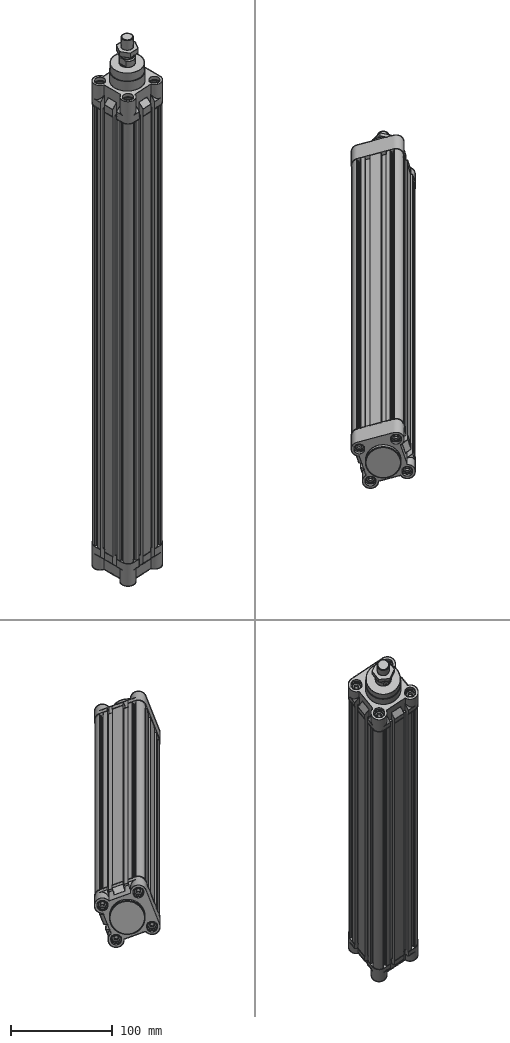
import cadquery as cq
import math

total_length = 663.0
side = 54.0
half_side = side / 2
thread_length = 24.0
shoulder_to_cap = 30.5
boss_height = 4.5
cap_height = 28.0
shoulder_z = total_length - thread_length
front_face_z = shoulder_z - shoulder_to_cap
barrel_top_z = front_face_z - cap_height
barrel_bottom_z = boss_height + cap_height

lobe_radius = 8.0
bolt_offset = half_side - lobe_radius
panel_offset = 21.0
rib_width = 11.0
lobe_inner = bolt_offset - lobe_radius
block_height = 9.0
bolt_steps = ((10.5, 4.0), (8.0, 6.0), (4.5, 10.0))

barrel_side = 53.0
barrel_half = barrel_side / 2
groove_floor = 23.0
slot_offset = 17.0
slot_width = 4.0
slot_depth = 2.0
slot_root_width = 2.0
slot_root_depth = 4.5

collar_diameter = 35.0
collar_height = 22.0
neck_diameter = 34.0
neck_height = 10.0
boss_chamfer = 0.5

rod_diameter = 16.0
thread_diameter = 12.0
thread_chamfer = 0.5
shoulder_chamfer = 1.0
flats_width = 13.0
flats_length = 8.0
nut_width = 19.0
nut_height = 6.0
nut_bottom_z = 644.5


def box(x_min, x_max, y_min, y_max, z_min, z_max):
    size = (x_max - x_min, y_max - y_min, z_max - z_min)
    return cq.Workplane("XY").box(*size, centered=False).translate((x_min, y_min, z_min))


def cylinder(diameter, z_min, z_max):
    return cq.Workplane("XY", origin=(0, 0, z_min)).circle(diameter / 2).extrude(z_max - z_min)


def turned(shape, angle):
    return shape.rotate((0, 0, 0), (0, 0, 1), angle)


def sloped_block(x_min, x_max):
    """Block on the -Y side of a cap, rising from z = 0, with a 45 degree end that slopes up and inward."""
    inner_y = -bolt_offset
    slope_top = block_height + half_side - bolt_offset
    outline = [(inner_y, 0), (-half_side, 0), (-half_side, block_height), (inner_y, slope_top)]
    block = cq.Workplane("YZ", origin=(x_min, 0, 0)).polyline(outline).close()
    return block.extrude(x_max - x_min)


def make_cap():
    """Front cap with its barrel joint at z = 0; the +Y side is flat and the other three are recessed."""
    cap = box(-panel_offset, panel_offset, -panel_offset, panel_offset, 0, cap_height)
    cap = cap.union(box(-bolt_offset, bolt_offset, 0, half_side, 0, cap_height))
    bolts = [(sx * bolt_offset, sy * bolt_offset) for sx in (-1, 1) for sy in (-1, 1)]
    cap = cap.union(cq.Workplane("XY").pushPoints(bolts).circle(lobe_radius).extrude(cap_height))

    rib = sloped_block(-rib_width / 2, rib_width / 2)
    shelf = sloped_block(lobe_inner, bolt_offset)
    for angle in (-90, 0, 90):
        cap = cap.union(turned(rib, angle))
        cap = cap.union(turned(shelf, angle))
        cap = cap.union(turned(shelf.mirror("YZ"), angle))

    cap_face = cq.Workplane("XY", origin=(0, 0, cap_height)).pushPoints(bolts)
    for diameter, depth in bolt_steps:
        cap = cap.cut(cap_face.circle(diameter / 2).extrude(-depth))
    return cap


def make_barrel():
    z_range = (barrel_bottom_z, barrel_top_z)
    barrel = box(-barrel_half, barrel_half, -barrel_half, barrel_half, *z_range)
    barrel = barrel.edges("|Z").fillet(lobe_radius)

    def trench(center, width, floor_y):
        return box(center - width / 2, center + width / 2, -barrel_half, floor_y, *z_range)

    groove_width = lobe_inner - rib_width / 2
    groove = trench(rib_width / 2 + groove_width / 2, groove_width, -groove_floor)
    slot = trench(slot_offset, slot_width, slot_depth - barrel_half)
    slot_root = trench(slot_offset, slot_root_width, slot_root_depth - barrel_half)
    for angle in (0, 90, 180, 270):
        for cutter in (groove, slot, slot_root):
            barrel = barrel.cut(turned(cutter, angle))
            barrel = barrel.cut(turned(cutter.mirror("YZ"), angle))
    return barrel


def make_housing():
    """Barrel, both caps, collar and boss in one piece, with the bore that holds the rod."""
    cap = make_cap()
    collar_top_z = front_face_z + collar_height
    neck_bottom_z = collar_top_z - neck_height
    boss = cylinder(collar_diameter, 0, boss_height).faces("<Z").chamfer(boss_chamfer)
    housing = make_barrel()
    housing = housing.union(cap.translate((0, 0, barrel_top_z)))
    housing = housing.union(cap.mirror("XY").translate((0, 0, barrel_bottom_z)))
    housing = housing.union(boss)
    housing = housing.union(cylinder(collar_diameter, front_face_z, neck_bottom_z))
    housing = housing.union(cylinder(neck_diameter, neck_bottom_z, collar_top_z))
    return housing.cut(cylinder(rod_diameter, barrel_top_z, collar_top_z))


def make_rod():
    """Piston rod seated on the floor of the housing bore, with wrench flats facing -Y and +Y."""
    rod = cylinder(rod_diameter, barrel_top_z, shoulder_z).faces(">Z").chamfer(shoulder_chamfer)
    thread = cylinder(thread_diameter, shoulder_z, total_length).faces(">Z").chamfer(thread_chamfer)
    rod_radius = rod_diameter / 2
    flats_bottom_z = shoulder_z - flats_length
    flat = box(-rod_radius, rod_radius, flats_width / 2, rod_radius, flats_bottom_z, shoulder_z)
    return rod.cut(flat).cut(flat.mirror("XZ")).union(thread)


def make_nut():
    """Hexagon lock nut with corners facing -Y and +Y."""
    corner_diameter = nut_width / math.cos(math.pi / 6)
    nut = cq.Workplane("XY").polygon(6, corner_diameter).circle(thread_diameter / 2).extrude(nut_height)
    return turned(nut, 90).translate((0, 0, nut_bottom_z))


housing = make_housing()
rod = make_rod()
nut = make_nut()
result = cq.Compound.makeCompound([housing.val(), rod.val(), nut.val()])